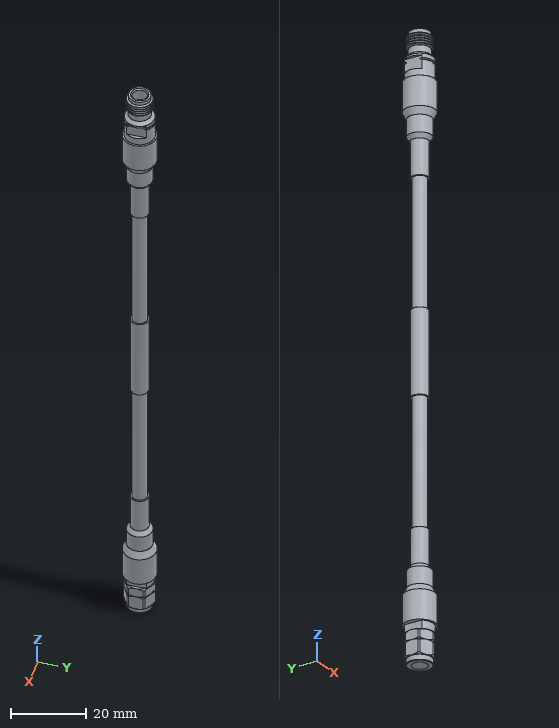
import cadquery as cq
import math

TOTAL_LENGTH = 184.7
MID_Z = 90.9

CABLE_D = 4.2
SLEEVE_D = 5.2
MARKER_LENGTH = 25.5
SLEEVE_LENGTH = 10.7
SLEEVE_INNER_Z = 51.3
FERRULE_END = SLEEVE_INNER_Z + SLEEVE_LENGTH

FERRULE_D = 7.2
FERRULE_LENGTH = 6.5
FERRULE_CHAMFER = 1.3
BARREL_D = 9.5
BARREL_CONE = 2.0
BARREL_LENGTH = 8.9
BARREL_START = FERRULE_END + FERRULE_LENGTH + BARREL_CONE
BARREL_END = BARREL_START + BARREL_LENGTH

COLLAR_D = 8.3
FLATS_WIDTH = 6.3

JACK_COLLAR_LENGTH = 6.6
FLATS_START = 2.2
FLATS_LENGTH = 3.9
COLLAR_GROOVE_Z = 5.2
COLLAR_GROOVE_WIDTH = 0.5
COLLAR_GROOVE_D = 7.5
JACK_CONE = 1.0
JACK_NECK_D = 6.3
THREAD_D = 7.2
THREAD_ROOT_D = 6.1
THREAD_PITCH = 0.7
THREAD_CREST = 0.2
THREAD_LENGTH = 4.8
THREAD_TURNS = 5
SOCKET_D = 4.0
SOCKET_DEPTH = 3.7
SOCKET_CHAMFER = 0.4
CONTACT_D = 1.8
CONTACT_DEPTH = 5.2

NUT_TOP = 9.0
NUT_BOTTOM = 1.7
NUT_FLATS = 8.0
NUT_ROUND_D = 8.9
NUT_GROOVE_Z = 6.1
NUT_GROOVE_WIDTH = 0.5
NUT_CHAMFER = 0.4
NUT_LIP_D = 7.4
NUT_LIP_CHAMFER = 0.2
SPIGOT_D = 4.6


def cylinder(diameter, z, length):
    return cq.Workplane("XY").workplane(offset=z).circle(diameter / 2).extrude(length)


def turned(outline):
    """Solid turned about Z from (diameter, z) points, closed along the axis."""
    points = [(d / 2, z) for d, z in outline]
    points = [(0, outline[0][1])] + points + [(0, outline[-1][1])]
    return cq.Workplane("XZ").polyline(points).close().revolve(360, (0, 0), (0, 1))


def tube(outer, inner, z, length):
    return cylinder(outer, z, length).cut(cylinder(inner, z, length))


def connector_rear():
    """Ferrule, taper and barrel, pointing up from the middle of the cable."""
    ferrule_top = FERRULE_END + FERRULE_LENGTH
    return turned([
        (SLEEVE_D, FERRULE_END),
        (FERRULE_D, FERRULE_END + FERRULE_CHAMFER),
        (FERRULE_D, ferrule_top),
        (BARREL_D, BARREL_START),
        (BARREL_D, BARREL_END),
    ])


def wrench_flats(z, length):
    """Two blocks that leave FLATS_WIDTH of material along X."""
    block = cq.Workplane("XY").box(BARREL_D, BARREL_D, length, centered=(True, True, False))
    offset = (FLATS_WIDTH + BARREL_D) / 2
    return block.translate((offset, 0, z)).union(block.translate((-offset, 0, z)))


def socket_bore():
    """Chamfered mating socket with the contact hole in its floor."""
    socket_floor = TOTAL_LENGTH - SOCKET_DEPTH
    return turned([
        (CONTACT_D, TOTAL_LENGTH - CONTACT_DEPTH),
        (CONTACT_D, socket_floor),
        (SOCKET_D, socket_floor),
        (SOCKET_D, TOTAL_LENGTH - SOCKET_CHAMFER),
        (SOCKET_D + 2 * SOCKET_CHAMFER, TOTAL_LENGTH),
    ])


def make_jack():
    barrel_top = MID_Z + BARREL_END
    collar_top = barrel_top + JACK_COLLAR_LENGTH
    groove_z = barrel_top + COLLAR_GROOVE_Z
    thread_start = TOTAL_LENGTH - THREAD_LENGTH
    outline = [
        (COLLAR_D, barrel_top),
        (COLLAR_D, groove_z - COLLAR_GROOVE_WIDTH / 2),
        (COLLAR_GROOVE_D, groove_z),
        (COLLAR_D, groove_z + COLLAR_GROOVE_WIDTH / 2),
        (COLLAR_D, collar_top),
        (JACK_NECK_D, collar_top + JACK_CONE),
        (JACK_NECK_D, thread_start),
    ]
    for turn in range(THREAD_TURNS):
        root_z = thread_start + turn * THREAD_PITCH
        crest_z = root_z + THREAD_PITCH / 2
        outline += [
            (THREAD_ROOT_D, root_z),
            (THREAD_D, crest_z - THREAD_CREST / 2),
            (THREAD_D, crest_z + THREAD_CREST / 2),
        ]
    outline += [
        (THREAD_ROOT_D, thread_start + THREAD_TURNS * THREAD_PITCH),
        (THREAD_ROOT_D, TOTAL_LENGTH),
    ]
    jack = connector_rear().translate((0, 0, MID_Z)).union(turned(outline))
    jack = jack.cut(wrench_flats(barrel_top + FLATS_START, FLATS_LENGTH))
    return jack.cut(socket_bore())


def make_plug():
    barrel_bottom = MID_Z - BARREL_END
    rear = connector_rear().rotate((0, 0, 0), (1, 0, 0), 180).translate((0, 0, MID_Z))
    collar_length = barrel_bottom - NUT_TOP
    collar = cylinder(COLLAR_D, NUT_TOP, collar_length).cut(wrench_flats(NUT_TOP, collar_length))
    return rear.union(collar).union(cylinder(SPIGOT_D, 0, NUT_TOP))


def make_nut():
    corner_d = NUT_FLATS / math.cos(math.pi / 6)
    hexagon = cq.Workplane("XY").polygon(6, corner_d).extrude(NUT_TOP).rotate((0, 0, 0), (0, 0, 1), 30)
    envelope = turned([
        (NUT_LIP_D - 2 * NUT_LIP_CHAMFER, 0),
        (NUT_LIP_D, NUT_LIP_CHAMFER),
        (NUT_LIP_D, NUT_BOTTOM),
        (NUT_FLATS, NUT_BOTTOM),
        (NUT_ROUND_D, NUT_BOTTOM + NUT_CHAMFER),
        (NUT_ROUND_D, NUT_GROOVE_Z - NUT_GROOVE_WIDTH / 2),
        (NUT_FLATS, NUT_GROOVE_Z),
        (NUT_ROUND_D, NUT_GROOVE_Z + NUT_GROOVE_WIDTH / 2),
        (NUT_ROUND_D, NUT_TOP - NUT_CHAMFER),
        (NUT_FLATS, NUT_TOP),
    ])
    return hexagon.intersect(envelope).cut(cylinder(SPIGOT_D, 0, NUT_TOP))


cable = cylinder(CABLE_D, MID_Z - FERRULE_END, 2 * FERRULE_END)
marker = tube(SLEEVE_D, CABLE_D, MID_Z - MARKER_LENGTH / 2, MARKER_LENGTH)
crimp_sleeves = [
    tube(SLEEVE_D, CABLE_D, z, SLEEVE_LENGTH)
    for z in (MID_Z - FERRULE_END, MID_Z + SLEEVE_INNER_Z)
]
jack = make_jack()
plug = make_plug()
nut = make_nut()

result = cq.Compound.makeCompound([
    cable.val(),
    marker.val(),
    *[sleeve.val() for sleeve in crimp_sleeves],
    jack.val(),
    plug.val(),
    nut.val(),
])